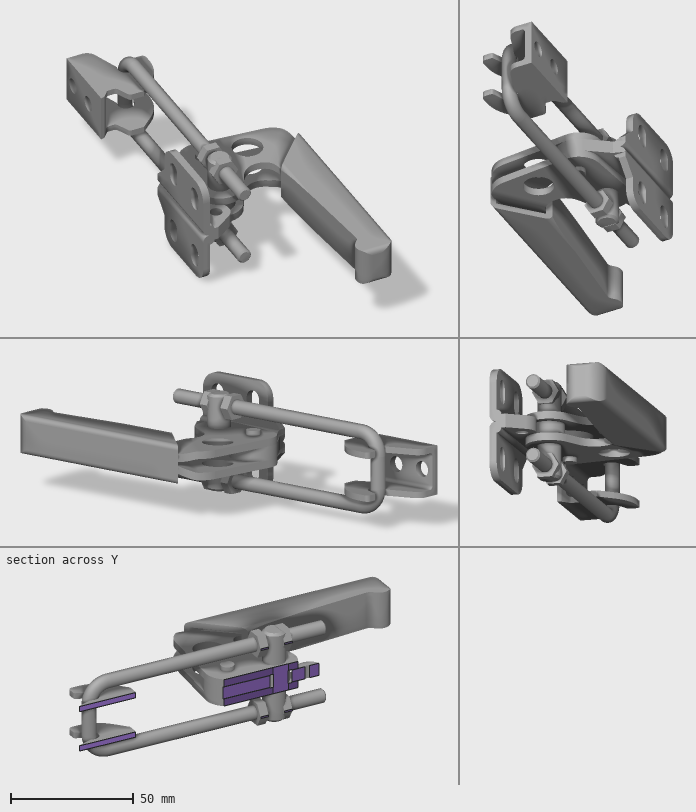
import cadquery as cq
import math


PIN_X = 81.8
PIN_Y = 21.0
TRUNNION_X = 102.5
TRUNNION_Y = 18.7

CATCH_LENGTH = 31.7
CATCH_HALF_WIDTH = 10.3
CATCH_FLOOR = 3.1
CATCH_ARM = 2.6
CATCH_BEND_RADIUS = 1.5
CATCH_HOLE_XS = (5.8, 19.8)
CATCH_HOLE_RADIUS = 3.3
SEAT_X = 16.8
SEAT_RADIUS = 3.5

CATCH_ARM_CORNERS = [
    (0, 0, 0),
    (CATCH_LENGTH, 0, 0),
    (31.1, 1.7, 0),
    (29.5, 5.2, -1.5),
    (29.5, 7.5, -1.5),
    (33.2, 12.6, 1.5),
    (34.8, 18.0, 0),
    (16.8, 12.2, 17.3),
    (13.8, 27.8, 1.7),
    (13.1, 25.2, 1.0),
    (SEAT_X, TRUNNION_Y, -SEAT_RADIUS),
    (14.7, 15.5, 0),
    (4.7, 7.0, 4.7),
]

WEB_HALF = 2.89
FLANGE = 3.1
FLANGE_LEFT = 89.4
FLANGE_RIGHT = 124.9
FLANGE_WIDTH = 47.0
FLANGE_HALF_WIDTH = FLANGE_WIDTH / 2
FLANGE_CORNER_RADIUS = 6.8
FLANGE_NOSE_X = 82.9
FLANGE_NOSE_HALF = 5.0
FLANGE_SHOULDER_HALF = 11.5
BEND_FILLET = 2.0
SLOT_XS = (97.8, 117.0)
SLOT_Z = 14.2
SLOT_LENGTH = 10.1
SLOT_WIDTH = 6.6
WEB_RIGHT_TOP = 7.0
WEB_TOE_X = 81.3
STOP_HOLE_X = 114.9
STOP_HOLE_Y = 10.8
STOP_HOLE_RADIUS = 2.6
STOP_LOBE_RADIUS = 6.0
PIVOT_LOBE_RADIUS = 9.8
BARREL_CLEARANCE = 0.9
PIN_RADIUS = 3.0
PIN_HALF_LENGTH = 8.2

HANDLE_HALF = 6.1
HANDLE_SHEET = HANDLE_HALF - WEB_HALF
FINGER_HOLE_X = 84.0
FINGER_HOLE_Y = 40.7
FINGER_HOLE_RADIUS = 6.5
SHOULDER_X = 85.5
SHOULDER_RADIUS = 10.5
THROAT_X = 104.5
THROAT_RADIUS = 8.7
TANG_TOP = 61.9
TANG_BOTTOM = 47.4
TANG_END_X = 157.4
TANG_END_BOTTOM = 52.1
FOLD_X = 88.5
FOLD_Y = 52.1
FOLD_LINE_ANGLE = -39.0
FOLD_SLOPE = 16.5
FOLD_INNER_RADIUS = 7.5

LENGTH = 174.9
HEIGHT = 63.7
GRIP_BOTTOM = 45.5
GRIP_HALF = 8.2
GRIP_EDGE_RADIUS = 2.1
GRIP_TIP_RADIUS = 6.8
GRIP_TOP_X = 85.3
GRIP_HEEL_X = 105.1
GRIP_HOLLOW_X = 163.5
GRIP_HOLLOW_Y = 47.5
GRIP_HOLLOW_RADIUS = 3.0
GRIP_HOOK_Y = 52.3
GRIP_HOOK_RADIUS = 4.9
RECESS_TOP_WALL = 1.5
RECESS_HALF = 5.8
RECESS_DEPTH = 7.0

ROD_RADIUS = 3.06
ROD_Z = 15.5
BOW_RADIUS = 8.7
BOW_X = 16.0
ROD_END_X = 125.5
ROD_END_CHAMFER = 0.7
NUT_XS = (93.0, 104.2)
NUT_THICKNESS = 3.8
NUT_ACROSS_CORNERS = 11.4
TRUNNION_RADIUS = 4.9
TRUNNION_HALF_LENGTH = 20.3
TRUNNION_CHAMFER = 1.0
BARREL_RADIUS = 6.5


def outward_angle(start, end):
    """Direction of the right-hand normal of the line tangent to two (x, y, radius) corners."""
    dx = end[0] - start[0]
    dy = end[1] - start[1]
    return math.atan2(dy, dx) - math.acos((start[2] - end[2]) / math.hypot(dx, dy))


def on_corner(corner, angle):
    """Point where a line with this outward direction touches a corner circle."""
    x, y, radius = corner
    return x + radius * math.cos(angle), y + radius * math.sin(angle)


def rounded_outline(corners, half_depth):
    """Plate centred on Z = 0 whose counterclockwise outline wraps (x, y, radius) corners.

    A positive radius rounds a corner outward, a negative one hollows it, zero keeps it sharp.
    """
    following = corners[1:] + corners[:1]
    leaving = [outward_angle(corner, after) for corner, after in zip(corners, following)]
    arriving = leaving[-1:] + leaving[:-1]

    outline = cq.Workplane("XY").moveTo(*on_corner(corners[-1], leaving[-1]))
    for corner, arrive, leave in zip(corners, arriving, leaving):
        outline = outline.lineTo(*on_corner(corner, arrive))
        if corner[2]:
            turn = math.copysign(1, corner[2])
            sweep = turn * ((turn * (leave - arrive)) % math.tau)
            middle = on_corner(corner, arrive + sweep / 2)
            outline = outline.threePointArc(middle, on_corner(corner, leave))
    return outline.close().extrude(half_depth, both=True)


def cross_cylinder(x, y, radius, half_length):
    """Cylinder parallel to Z, centred on Z = 0."""
    return cq.Workplane("XY").center(x, y).circle(radius).extrude(half_length, both=True)


def block(x_min, x_max, y_min, y_max, half_width):
    """Rectangular block centred on Z = 0."""
    centre = ((x_min + x_max) / 2, (y_min + y_max) / 2, 0)
    return cq.Workplane("XY", origin=centre).box(x_max - x_min, y_max - y_min, 2 * half_width)


def make_catch():
    """Channel with two hook-shaped arms on a drilled floor."""
    catch = rounded_outline(CATCH_ARM_CORNERS, CATCH_HALF_WIDTH)
    inner_half = CATCH_HALF_WIDTH - CATCH_ARM
    channel = block(0, LENGTH, CATCH_FLOOR, HEIGHT, inner_half)
    catch = catch.cut(channel.edges("|X and <Y").fillet(CATCH_BEND_RADIUS))
    for x in CATCH_HOLE_XS:
        hole = cq.Workplane("XZ").center(x, 0).circle(CATCH_HOLE_RADIUS).extrude(-CATCH_FLOOR)
        catch = catch.cut(hole)
    return catch


def make_base():
    """Upright web on a slotted mounting flange, with the pivot pin fixed in the web."""
    web = rounded_outline(
        [
            (FLANGE_NOSE_X, 0, 0),
            (FLANGE_RIGHT, 0, 0),
            (FLANGE_RIGHT, WEB_RIGHT_TOP, 0),
            (STOP_HOLE_X, STOP_HOLE_Y, STOP_LOBE_RADIUS),
            (TRUNNION_X, TRUNNION_Y, -BARREL_RADIUS - BARREL_CLEARANCE),
            (PIN_X, PIN_Y, PIVOT_LOBE_RADIUS),
            (WEB_TOE_X, FLANGE + BEND_FILLET, 0),
        ],
        WEB_HALF,
    )
    flange_outline = [
        (FLANGE_NOSE_X, -FLANGE_NOSE_HALF),
        (FLANGE_LEFT, -FLANGE_SHOULDER_HALF),
        (FLANGE_LEFT, -FLANGE_HALF_WIDTH),
        (FLANGE_RIGHT, -FLANGE_HALF_WIDTH),
        (FLANGE_RIGHT, FLANGE_HALF_WIDTH),
        (FLANGE_LEFT, FLANGE_HALF_WIDTH),
        (FLANGE_LEFT, FLANGE_SHOULDER_HALF),
        (FLANGE_NOSE_X, FLANGE_NOSE_HALF),
    ]
    flange = cq.Workplane("XZ").polyline(flange_outline).close().extrude(-FLANGE)
    flange = flange.faces("<Z or >Z").edges("|Y").fillet(FLANGE_CORNER_RADIUS)

    for x in SLOT_XS:
        for z in (-SLOT_Z, SLOT_Z):
            slot = cq.Workplane("XZ").center(x, z).slot2D(SLOT_LENGTH, SLOT_WIDTH, 90).extrude(-FLANGE)
            flange = flange.cut(slot)

    base = web.union(flange)
    base = base.union(bend_fillets())
    base = base.cut(fold_groove())
    base = base.cut(cross_cylinder(STOP_HOLE_X, STOP_HOLE_Y, STOP_HOLE_RADIUS, WEB_HALF))
    return base.union(cross_cylinder(PIN_X, PIN_Y, PIN_RADIUS, PIN_HALF_LENGTH))


def bend_fillets():
    """Inside radii between the web and the flange."""
    top = FLANGE + BEND_FILLET
    foot = WEB_HALF + BEND_FILLET
    fillet = (
        cq.Workplane("YZ")
        .moveTo(FLANGE, -foot)
        .radiusArc((top, -WEB_HALF), -BEND_FILLET)
        .lineTo(top, WEB_HALF)
        .radiusArc((FLANGE, foot), -BEND_FILLET)
        .close()
        .extrude(FLANGE_RIGHT - FLANGE_NOSE_X)
    )
    return fillet.translate((FLANGE_NOSE_X, 0, 0))


def fold_groove():
    """Valley on the mounting face between the two rounded sheet bends."""
    return (
        cq.Workplane("YZ")
        .moveTo(0, -WEB_HALF)
        .radiusArc((WEB_HALF, 0), WEB_HALF)
        .radiusArc((0, WEB_HALF), WEB_HALF)
        .close()
        .extrude(LENGTH)
    )


def folded_sheet():
    """One handle sheet: outer stretch, sloping stretch and the tang stretch lying on Z = 0."""
    slope = math.radians(FOLD_SLOPE)
    half_turn = math.tan(slope / 2)
    run = WEB_HALF / math.tan(slope)
    inner_shift = HANDLE_SHEET * half_turn
    inner_leg = FOLD_INNER_RADIUS * half_turn
    outer_leg = inner_leg + inner_shift
    outer_bend_end = (outer_leg * math.cos(slope), HANDLE_HALF - outer_leg * math.sin(slope))
    inner_bend_start = (inner_leg * math.cos(slope) - inner_shift, WEB_HALF - inner_leg * math.sin(slope))
    reach = LENGTH

    sheet = (
        cq.Workplane("XZ")
        .moveTo(-reach, HANDLE_HALF)
        .lineTo(-outer_leg, HANDLE_HALF)
        .tangentArcPoint(outer_bend_end, relative=False)
        .lineTo(run, HANDLE_SHEET)
        .lineTo(reach, HANDLE_SHEET)
        .lineTo(reach, 0)
        .lineTo(run - inner_shift, 0)
        .lineTo(*inner_bend_start)
        .tangentArcPoint((-inner_leg - inner_shift, WEB_HALF), relative=False)
        .lineTo(-reach, WEB_HALF)
        .close()
        .extrude(reach, both=True)
    )
    sheet = sheet.rotate((0, 0, 0), (0, 0, 1), FOLD_LINE_ANGLE + 90)
    return sheet.translate((FOLD_X, FOLD_Y, 0))


def make_handle():
    """Two sheets that straddle the base web and close into one tang inside the grip."""
    outline = rounded_outline(
        [
            (PIN_X, PIN_Y, PIVOT_LOBE_RADIUS),
            (TRUNNION_X, TRUNNION_Y, PIVOT_LOBE_RADIUS),
            (THROAT_X, TANG_BOTTOM - THROAT_RADIUS, -THROAT_RADIUS),
            (TANG_END_X, TANG_END_BOTTOM, 0),
            (TANG_END_X, TANG_TOP, 0),
            (SHOULDER_X, TANG_TOP - SHOULDER_RADIUS, SHOULDER_RADIUS),
        ],
        HANDLE_HALF,
    )
    sheet = folded_sheet()
    handle = outline.intersect(sheet.union(sheet.mirror("XY")))
    holes = (
        (FINGER_HOLE_X, FINGER_HOLE_Y, FINGER_HOLE_RADIUS),
        (PIN_X, PIN_Y, PIN_RADIUS),
        (TRUNNION_X, TRUNNION_Y, BARREL_RADIUS),
    )
    for x, y, radius in holes:
        handle = handle.cut(cross_cylinder(x, y, radius, HANDLE_HALF))
    return handle


def make_grip(handle):
    """Sleeve with rounded edges, a sloping open end, a hooked tip and a slot fitting the tang."""
    body = block(0, LENGTH, GRIP_BOTTOM, HEIGHT, GRIP_HALF)
    body = body.faces("<Z or >Z").edges().fillet(GRIP_EDGE_RADIUS)

    profile = rounded_outline(
        [
            (GRIP_TOP_X, HEIGHT, 0),
            (GRIP_HEEL_X, GRIP_BOTTOM, 0),
            (GRIP_HOLLOW_X, GRIP_HOLLOW_Y, -GRIP_HOLLOW_RADIUS),
            (LENGTH - GRIP_HOOK_RADIUS, GRIP_HOOK_Y, GRIP_HOOK_RADIUS),
            (LENGTH - GRIP_TIP_RADIUS, HEIGHT - GRIP_TIP_RADIUS, GRIP_TIP_RADIUS),
        ],
        GRIP_HALF,
    )
    recess = (
        cq.Workplane("XY")
        .moveTo(GRIP_TOP_X, HEIGHT)
        .lineTo(GRIP_TOP_X + RECESS_DEPTH, HEIGHT)
        .lineTo(GRIP_HEEL_X + RECESS_DEPTH, GRIP_BOTTOM)
        .lineTo(GRIP_HEEL_X, GRIP_BOTTOM)
        .close()
        .extrude(RECESS_HALF, both=True)
    )
    recess = recess.intersect(block(0, LENGTH, TANG_BOTTOM, HEIGHT - RECESS_TOP_WALL, RECESS_HALF))
    return body.intersect(profile).cut(recess).cut(handle)


def make_clamp_bolt():
    """U-shaped rod with its nuts and the trunnion that turns in the handle."""
    bend = BOW_RADIUS * (1 - math.sqrt(0.5))
    bow_z = ROD_Z - BOW_RADIUS
    bow_end_x = BOW_X + BOW_RADIUS
    path = (
        cq.Workplane("XZ", origin=(0, TRUNNION_Y, 0))
        .moveTo(ROD_END_X, -ROD_Z)
        .lineTo(bow_end_x, -ROD_Z)
        .threePointArc((BOW_X + bend, bend - ROD_Z), (BOW_X, -bow_z))
        .lineTo(BOW_X, bow_z)
        .threePointArc((BOW_X + bend, ROD_Z - bend), (bow_end_x, ROD_Z))
        .lineTo(ROD_END_X, ROD_Z)
    )
    rod_end = cq.Workplane("YZ", origin=(ROD_END_X, TRUNNION_Y, -ROD_Z))
    bolt = rod_end.circle(ROD_RADIUS).sweep(path)
    bolt = bolt.faces(">X").edges().chamfer(ROD_END_CHAMFER)

    trunnion = cross_cylinder(TRUNNION_X, TRUNNION_Y, TRUNNION_RADIUS, TRUNNION_HALF_LENGTH)
    trunnion = trunnion.faces("<Z or >Z").edges().chamfer(TRUNNION_CHAMFER)
    bolt = bolt.union(trunnion)
    bolt = bolt.union(cross_cylinder(TRUNNION_X, TRUNNION_Y, BARREL_RADIUS, HANDLE_HALF))
    for x in NUT_XS:
        for z in (-ROD_Z, ROD_Z):
            nut = cq.Workplane("YZ", origin=(x, TRUNNION_Y, z)).polygon(6, NUT_ACROSS_CORNERS)
            bolt = bolt.union(nut.extrude(NUT_THICKNESS))
    return bolt


catch = make_catch()
base = make_base()
handle = make_handle()
grip = make_grip(handle)
clamp_bolt = make_clamp_bolt()

result = cq.Compound.makeCompound([catch.val(), base.val(), handle.val(), grip.val(), clamp_bolt.val()])